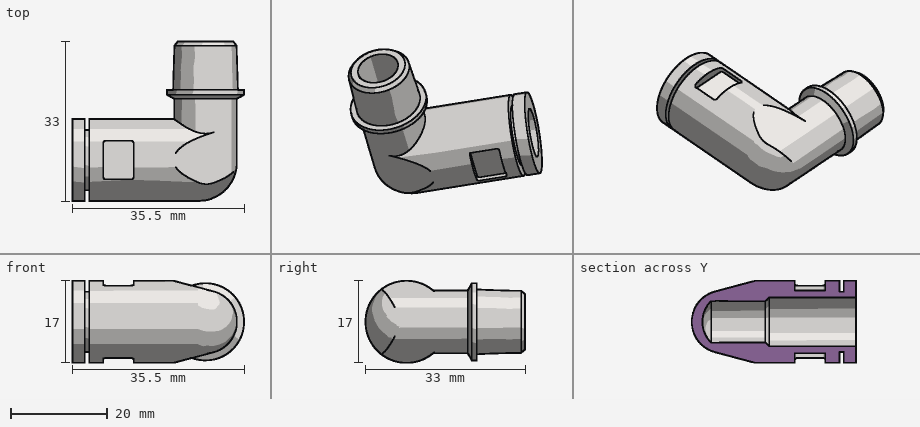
import math

import cadquery as cq


body_radius = 17 / 2
body_length = 34.0
cap_radius = 8.0

groove_start = 2.6
groove_end = 3.45
groove_radius = 12.5 / 2

pocket_start = 6.4
pocket_end = 12.65
pocket_width = 8.0
pocket_corner_radius = 0.5
pocket_floor_height = 6.5

neck_radius = 13 / 2
elbow_x = body_length - neck_radius
wedge_angle = math.radians(15)
collar_radius = 16 / 2
collar_top = 14.5
collar_rim = 1.0
collar_underside_angle = math.radians(30)

spigot_end = 24.5
spigot_base_radius = 13.45 / 2
spigot_taper = 1 / 16
spigot_tip_radius = 11.45 / 2
spigot_chamfer_length = 0.85

tube_radius = 10 / 2
tube_depth = 18.0
bore_radius = 8.5 / 2
seat_length = tube_radius - bore_radius
dome_radius = 6.0

margin = 1.0


def revolve_about_x(profile):
    """Close a half profile along the X axis and turn it into a solid."""
    return profile.close().revolve(360, (0, 0, 0), (1, 0, 0))


def make_body():
    """Grooved socket cylinder, square at both ends."""
    return revolve_about_x(
        cq.Workplane("XY")
        .lineTo(0, body_radius)
        .lineTo(groove_start, body_radius)
        .lineTo(groove_start, groove_radius)
        .lineTo(groove_end, groove_radius)
        .lineTo(groove_end, body_radius)
        .lineTo(body_length, body_radius)
        .lineTo(body_length, 0)
    )


def make_wedge():
    """Prism along Y whose sloping flats end where they are tangent to the neck."""
    height = body_radius + margin
    tangent_x = elbow_x + neck_radius * math.sin(wedge_angle)
    tangent_z = neck_radius * math.cos(wedge_angle)
    slope_start_x = tangent_x - (height - tangent_z) / math.tan(wedge_angle)
    return (
        cq.Workplane("XZ")
        .moveTo(-margin, -height)
        .lineTo(slope_start_x, -height)
        .lineTo(tangent_x, -tangent_z)
        .lineTo(tangent_x, tangent_z)
        .lineTo(slope_start_x, height)
        .lineTo(-margin, height)
        .close()
        .extrude(height, both=True)
    )


def make_end_trim():
    """Material outside the socket cylinder and its rounded end, on the -Y half.

    The half turn is swung back by a quarter turn so that it is centred on -Y.
    """
    trim_start = elbow_x - neck_radius
    trim_radius = body_radius + neck_radius
    cap_start = body_length - cap_radius
    cap_flat_radius = body_radius - cap_radius
    diagonal = cap_radius * math.sqrt(0.5)
    return (
        cq.Workplane("XY")
        .moveTo(trim_start, -body_radius)
        .lineTo(cap_start, -body_radius)
        .threePointArc(
            (cap_start + diagonal, -cap_flat_radius - diagonal),
            (body_length, -cap_flat_radius),
        )
        .lineTo(body_length + margin, -cap_flat_radius)
        .lineTo(body_length + margin, -trim_radius)
        .lineTo(trim_start, -trim_radius)
        .close()
        .revolve(180, (0, 0, 0), (1, 0, 0))
        .rotate((0, 0, 0), (1, 0, 0), -90)
    )


def make_pockets():
    """Upper and lower grip pockets with rounded corners."""
    length = pocket_end - pocket_start
    depth = body_radius - pocket_floor_height
    upper = (
        cq.Workplane("XY", origin=((pocket_start + pocket_end) / 2, 0, pocket_floor_height))
        .rect(length, pocket_width)
        .extrude(depth)
        .edges("|Z")
        .fillet(pocket_corner_radius)
    )
    return upper.union(upper.mirror("XY"))


def make_spigot():
    """Neck, collar and tapered spigot; the neck runs through the body to its -Y side."""
    rim_bottom = collar_top - collar_rim
    neck_top = rim_bottom - (collar_radius - neck_radius) * math.tan(collar_underside_angle)
    chamfer_start = spigot_end - spigot_chamfer_length
    taper_end_radius = spigot_base_radius - (chamfer_start - collar_top) * spigot_taper / 2
    return (
        cq.Workplane("XY", origin=(elbow_x, 0, 0))
        .moveTo(0, -body_radius)
        .lineTo(neck_radius, -body_radius)
        .lineTo(neck_radius, neck_top)
        .lineTo(collar_radius, rim_bottom)
        .lineTo(collar_radius, collar_top)
        .lineTo(spigot_base_radius, collar_top)
        .lineTo(taper_end_radius, chamfer_start)
        .lineTo(spigot_tip_radius, spigot_end)
        .lineTo(0, spigot_end)
        .close()
        .revolve(360, (0, 0, 0), (0, 1, 0))
    )


def make_socket_bore():
    """Tube bore, conical seat and smaller bore ending in a spherical dome."""
    dome_tip = elbow_x + bore_radius
    dome_center = dome_tip - dome_radius
    dome_start = dome_center + math.sqrt(dome_radius**2 - bore_radius**2)
    half_angle = math.asin(bore_radius / dome_radius) / 2
    dome_mid = (
        dome_center + dome_radius * math.cos(half_angle),
        dome_radius * math.sin(half_angle),
    )
    return revolve_about_x(
        cq.Workplane("XY")
        .lineTo(0, tube_radius)
        .lineTo(tube_depth, tube_radius)
        .lineTo(tube_depth + seat_length, bore_radius)
        .lineTo(dome_start, bore_radius)
        .threePointArc(dome_mid, (dome_tip, 0))
    )


def make_spigot_bore():
    """Bore from the socket axis out through the spigot end."""
    return (
        cq.Workplane("XZ", origin=(elbow_x, 0, 0))
        .circle(bore_radius)
        .extrude(-spigot_end)
    )


body = make_body().intersect(make_wedge())
elbow = body.union(make_spigot()).cut(make_end_trim()).cut(make_pockets())
result = elbow.cut(make_socket_bore()).cut(make_spigot_bore())